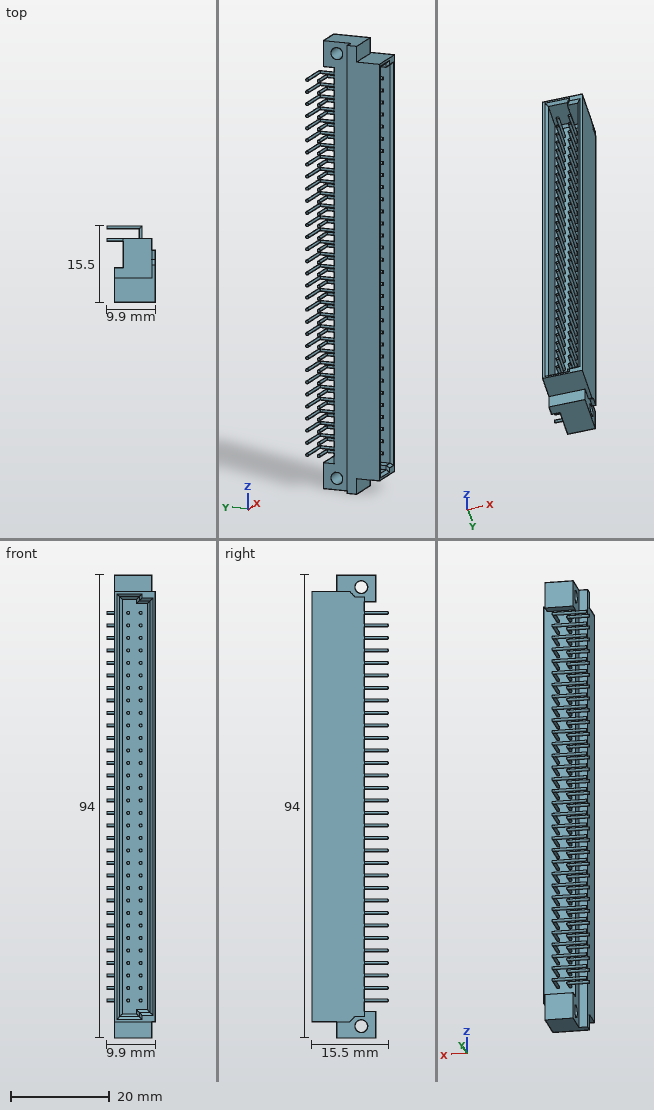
import cadquery as cq

height = 94.0
body_width = 8.4
body_rear = 10.6
shell_height = 87.4

drop_front = 7.6
drop_rear = 8.7
drop_height = drop_rear - drop_front

ear_width = 7.6
ear_front = 5.0
ear_rear = 13.0
ear_length = 5.45
ear_hole_diameter = 2.5
ear_hole_inset = 2.4

side_step = 1.8
side_step_front = 7.05
ear_hole_y = (side_step_front + ear_rear) / 2

rim = 0.52
cavity_depth = 6.5
cavity_key_x = 5.6
cavity_key_step = 0.8
cavity_chamfer = 0.6

rows = 32
columns = 2
pitch = 2.5
pin_diameter = 0.6
pin_radius = pin_diameter / 2
first_column_x = 2.8
pin_tip_y = 1.3
tail_end_x = -1.5
last_tail_rear = 15.5
first_tail_y = last_tail_rear - pin_radius - (columns - 1) * pitch


def block(x0, x1, y0, y1, z0, z1):
    """Box between two opposite corners."""
    return cq.Workplane("XY").box(x1 - x0, y1 - y0, z1 - z0, centered=False).translate((x0, y0, z0))


def make_body():
    half = height / 2
    half_shell = shell_height / 2
    low = half_shell - drop_height
    body = (
        cq.Workplane("YZ")
        .polyline([(0, -half_shell), (drop_front, -half_shell), (drop_rear, -low), (body_rear, -low),
                   (body_rear, low), (drop_rear, low), (drop_front, half_shell), (0, half_shell)])
        .close()
        .extrude(body_width)
    )
    for z0, z1 in ((half - ear_length, half), (-half, ear_length - half)):
        body = body.union(block(0, ear_width, ear_front, ear_rear, z0, z1))
    body = body.cut(block(0, side_step, side_step_front, ear_rear, -half, half))
    holes = (
        cq.Workplane("YZ")
        .pushPoints([(ear_hole_y, side * (half - ear_hole_inset)) for side in (-1, 1)])
        .circle(ear_hole_diameter / 2)
        .extrude(body_width)
    )
    return body.cut(holes)


def cavity_section(inset):
    """Keyed cavity outline, moved inwards by the inset."""
    left = rim + inset
    right = body_width - rim - inset
    key = cavity_key_x - inset
    tall = shell_height / 2 - rim - inset
    short = tall - cavity_key_step
    return [(left, -tall), (key, -tall), (key, -short), (right, -short),
            (right, short), (key, short), (key, tall), (left, tall)]


def cavity_layer(y0, y1, inset0, inset1):
    """Slice of the cavity whose outline shrinks evenly from y0 to y1."""
    return (
        cq.Workplane("XZ", origin=(0, y0, 0))
        .polyline(cavity_section(inset0))
        .close()
        .workplane(offset=y0 - y1)
        .polyline(cavity_section(inset1))
        .close()
        .loft(ruled=True)
    )


def make_cavity():
    """Straight cavity with a chamfered mouth and a chamfered floor edge."""
    c = cavity_chamfer
    cavity = cavity_layer(0, c, 0, c)
    cavity = cavity.union(cavity_layer(c, cavity_depth - c, c, c))
    return cavity.union(cavity_layer(cavity_depth - c, cavity_depth, c, 2 * c))


def make_pin(column, z):
    """Right-angle pin: a contact along Y and a tail along X."""
    x = first_column_x + column * pitch
    tail_y = first_tail_y + column * pitch
    path = (
        cq.Workplane("XY", origin=(0, 0, z))
        .moveTo(x, pin_tip_y)
        .lineTo(x, tail_y)
        .lineTo(tail_end_x, tail_y)
    )
    start = cq.Workplane("XZ", origin=(x, pin_tip_y, z)).circle(pin_radius)
    return start.sweep(path, transition="right")


def make_pins():
    """All pins, in columns along X and rows along Z."""
    pins = []
    for column in range(columns):
        for row in range(rows):
            z = (row - (rows - 1) / 2) * pitch
            pins.append(make_pin(column, z).val())
    return pins


housing = make_body().cut(make_cavity())
result = cq.Workplane(housing.val().fuse(*make_pins()))